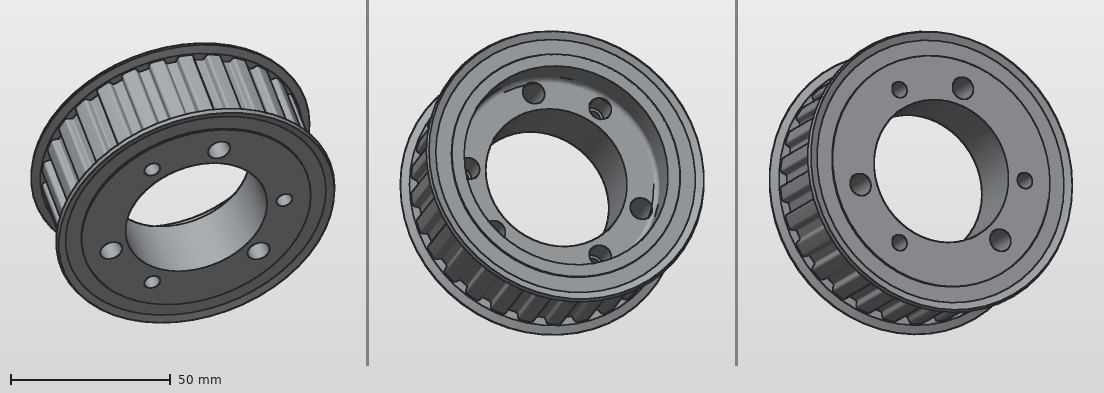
import cadquery as cq
import math

width = 32.2
flange_radius = 45.3

flange_thickness = 1.45
flange_flare_angle = 20.0
flange_depth = 2.4
flange_bend_radius = 42.3

hub_radius = 37.2
hub_step = 0.6
bore_radius = 23.0
recess_radius = 33.2
recess_depth = 11.0
recess_fillet = 1.5

tooth_count = 28
tip_radius = 42.0
root_radius = 39.9
groove_root_width = 3.1
groove_flank_angle = 20.0
groove_root_fillet = 0.59
groove_tip_fillet = 1.0

bolt_circle_radius = 28.6
hole_count = 3
clearance_diameter = 7.2
screw_diameter = 5.2
counterbore_diameter = clearance_diameter
counterbore_depth = 9.1
clearance_start_angle = -15.0
screw_start_angle = 60.0

flange_face_x = width / 2 - flange_depth + flange_thickness
belt_half_width = width / 2 - flange_depth
hub_half_width = flange_face_x + hub_step
recess_floor_x = recess_depth - hub_half_width
middle_radius = (tip_radius + root_radius) / 2
pitch_angle = 360.0 / tooth_count


def cylinder(radius, start_x, end_x):
    """Solid cylinder on the pulley axis."""
    return cq.Workplane("YZ", origin=(start_x, 0, 0)).circle(radius).extrude(end_x - start_x)


def make_flange():
    """Sheet flange on the +X end, revolved from its bent cross-section."""
    flare = math.radians(flange_flare_angle)
    rim_x = flange_thickness * math.cos(flare)
    rim_radius = flange_radius - flange_thickness * math.sin(flare)
    back_bend_radius = flange_bend_radius + flange_thickness * math.tan(flare / 2)
    section = [
        (belt_half_width, bore_radius),
        (flange_face_x, bore_radius),
        (flange_face_x, flange_bend_radius),
        (width / 2, rim_radius),
        (width / 2 - rim_x, flange_radius),
        (belt_half_width, back_bend_radius),
    ]
    return cq.Workplane("XY").polyline(section).close().revolve(360, (0, 0, 0), (1, 0, 0))


def make_groove():
    """Tooth-space cutter: a trapezoid on the +Y side that narrows toward the axis."""
    flank = math.tan(math.radians(groove_flank_angle))
    root_half = groove_root_width / 2
    mouth_half = root_half + (flange_radius - root_radius) * flank
    section = [
        (root_radius, -root_half),
        (flange_radius, -mouth_half),
        (flange_radius, mouth_half),
        (root_radius, root_half),
    ]
    return (
        cq.Workplane("YZ", origin=(-belt_half_width, 0, 0))
        .polyline(section).close()
        .extrude(2 * belt_half_width)
    )


def round_edges(rim, inner_radius, outer_radius, fillet):
    """Fillet the lengthwise edges that lie between two distances from the axis."""
    edges = [
        edge for edge in rim.edges("|X").vals()
        if inner_radius < math.hypot(edge.Center().y, edge.Center().z) < outer_radius
    ]
    return rim.newObject(edges).fillet(fillet)


def make_toothed_rim():
    """Belt-carrying cylinder with its tooth spaces cut and rounded."""
    rim = cylinder(tip_radius, -belt_half_width, belt_half_width)
    groove = make_groove()
    for index in range(tooth_count):
        rim = rim.cut(groove.rotate((0, 0, 0), (1, 0, 0), index * pitch_angle))
    rim = round_edges(rim, middle_radius, flange_radius, groove_tip_fillet)
    return round_edges(rim, 0, middle_radius, groove_root_fillet)


def bolt_points(start_angle):
    """Equally spaced points on the bolt circle, as seen looking along +X."""
    angles = [math.radians(start_angle + index * 360 / hole_count) for index in range(hole_count)]
    return [(-bolt_circle_radius * math.cos(a), bolt_circle_radius * math.sin(a)) for a in angles]


def holes(diameter, start_angle, depth):
    """Cutters that enter the recess floor around the bolt circle."""
    floor = cq.Workplane("YZ", origin=(recess_floor_x, 0, 0))
    return floor.pushPoints(bolt_points(start_angle)).circle(diameter / 2).extrude(depth)


def make_recess():
    """Cutter for the -X end recess, with a rounded floor corner."""
    recess = cylinder(recess_radius, -width, recess_floor_x)
    return recess.faces(">X").edges().fillet(recess_fillet)


flange = make_flange()
hub = cylinder(hub_radius, -hub_half_width, hub_half_width)
result = make_toothed_rim().union(hub).union(flange).union(flange.mirror("YZ"))

result = result.cut(make_recess())
result = result.cut(cylinder(bore_radius, -width, width))

result = result.cut(holes(clearance_diameter, clearance_start_angle, width))
result = result.cut(holes(screw_diameter, screw_start_angle, width))
result = result.cut(holes(counterbore_diameter, screw_start_angle, counterbore_depth))